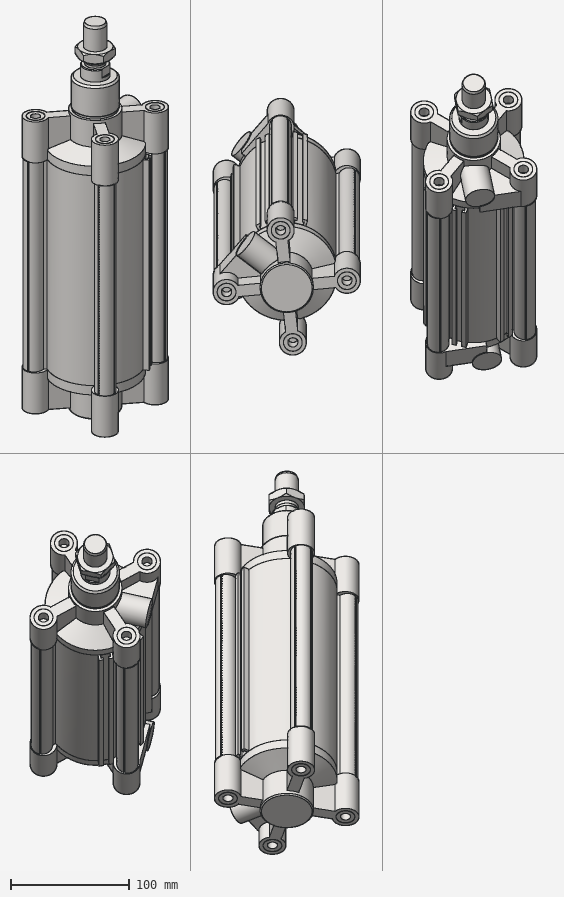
import cadquery as cq
import math


rear_head_foot = 4.0
head_height = 39.0
barrel_length = 200.5
barrel_bottom = rear_head_foot + head_height
barrel_top = barrel_bottom + barrel_length
collar_rise = 3.0
gland_step = barrel_top + head_height + collar_rise
gland_top = 317.0
rod_tip = 368.5

head_width = 95.0
boss_diameter = 23.0
boss_offset = (head_width - boss_diameter) / 2
screw_face_diameter = 16.0
screw_face_depth = 0.5
screw_hole_diameter = 8.5
screw_hole_depth = 11.0
web_width = 10.5
barrel_diameter = 85.0
disc_height = 9.0
cone_height = 7.7
collar_diameter = 45.0
gland_diameter = 41.0
gland_groove_diameter = 39.8
gland_groove_height = 2.2
gland_chamfer = 2.0
rear_collar_chamfer = 1.0

port_diameter = 25.0
port_shift = 3.0
port_height = 22.0
port_reach = head_width / 2
port_block_reach = 46.8

rib_offset = 37.2
rib_diameter = 18.5
rib_groove_width = 1.0
rib_groove_inset = 0.55
rib_groove_depth = 1.0
rail_angle = 25.3
rail_width = 12.5
rail_root_radius = 41.3
rail_outer_radius = 47.5
rail_pocket_width = 8.0
rail_pocket_floor = 42.7
rail_lip_inner_radius = 45.5
rail_opening_width = 4.8

rod_diameter = 25.0
rod_flat_width = 22.0
rod_flat_bottom = 320.2
rod_shoulder = 328.5
rod_shoulder_chamfer = 0.7
thread_diameter = 20.0
thread_end = 332.5
thread_chamfer_height = 2.5
thread_core_diameter = 18.0
thread_runout_height = 2.0
nut_bottom = 335.7
nut_height = 9.0
nut_across_flats = 30.0
nut_chamfer_height = 1.5

corner_signs = [(sx, sy) for sx in (-1, 1) for sy in (-1, 1)]
boss_centers = [(sx * boss_offset, sy * boss_offset) for sx, sy in corner_signs]


def cylinder(diameter, bottom, height):
    return cq.Workplane("XY").workplane(offset=bottom).circle(diameter / 2).extrude(height)


def diagonal_webs(center_distance, height):
    """Two crossed plates that join opposite corners through the Z axis."""
    length = 2 * math.sqrt(2) * center_distance
    plate = cq.Workplane("XY").rect(length, web_width).extrude(height)
    return plate.rotate((0, 0, 0), (0, 0, 1), 45).union(plate.rotate((0, 0, 0), (0, 0, 1), -45))


def head_base(collar_height):
    """Head standing on its barrel face at Z = 0, with its center collar rising past the bosses."""
    disc_radius = barrel_diameter / 2
    collar_radius = collar_diameter / 2
    core = (
        cq.Workplane("XZ")
        .polyline([
            (0, 0),
            (disc_radius, 0),
            (disc_radius, disc_height),
            (collar_radius, disc_height + cone_height),
            (collar_radius, collar_height),
            (0, collar_height),
        ])
        .close()
        .revolve(360, (0, 0, 0), (0, 1, 0))
    )
    bosses = cq.Workplane("XY").pushPoints(boss_centers).circle(boss_diameter / 2).extrude(head_height)
    port = (
        cq.Workplane("XZ")
        .center(port_shift, port_height)
        .circle(port_diameter / 2)
        .extrude(-port_reach)
    )
    port_block = cq.Workplane("XY").polyline([
        (port_shift, 0),
        (port_shift, port_block_reach),
        (-boss_offset, port_block_reach),
        (-boss_offset, boss_offset),
    ]).close().extrude(port_height)

    head = core.union(bosses).union(diagonal_webs(boss_offset, head_height))
    head = head.union(port_block).union(port)
    outer_face = cq.Workplane("XY").workplane(offset=head_height).pushPoints(boss_centers)
    head = head.cut(outer_face.circle(screw_face_diameter / 2).extrude(-screw_face_depth))
    return head.cut(outer_face.circle(screw_hole_diameter / 2).extrude(-screw_hole_depth))


def make_front_head():
    groove_floor = cylinder(gland_groove_diameter, gland_step, gland_groove_height)
    gland_bottom = gland_step + gland_groove_height
    gland = cylinder(gland_diameter, gland_bottom, gland_top - gland_bottom)
    gland = gland.faces(">Z").chamfer(gland_chamfer)
    head = head_base(gland_step - barrel_top).translate((0, 0, barrel_top))
    head = head.union(groove_floor).union(gland)
    return head.cut(cylinder(rod_diameter, barrel_top, gland_top - barrel_top))


def make_rear_head():
    head = head_base(barrel_bottom).faces(">Z").chamfer(rear_collar_chamfer)
    return head.rotate((0, 0, 0), (0, 1, 0), 180).translate((0, 0, barrel_bottom))


def sensor_rail(angle):
    """Undercut sensor slot rail on the outside of the barrel, at an angle from +X."""
    half_rail = rail_width / 2
    half_pocket = rail_pocket_width / 2
    half_opening = rail_opening_width / 2
    outline = [
        (rail_root_radius, -half_rail),
        (rail_outer_radius, -half_rail),
        (rail_outer_radius, -half_opening),
        (rail_lip_inner_radius, -half_opening),
        (rail_lip_inner_radius, -half_pocket),
        (rail_pocket_floor, -half_pocket),
        (rail_pocket_floor, half_pocket),
        (rail_lip_inner_radius, half_pocket),
        (rail_lip_inner_radius, half_opening),
        (rail_outer_radius, half_opening),
        (rail_outer_radius, half_rail),
        (rail_root_radius, half_rail),
    ]
    rail = cq.Workplane("XY").polyline(outline).close().extrude(barrel_length)
    return rail.rotate((0, 0, 0), (0, 0, 1), angle)


def corner_rib(sx, sy):
    """Round corner rib with a narrow groove along its outer X side and its outer Y side."""
    rib = cq.Workplane("XY").circle(rib_diameter / 2).extrude(barrel_length)
    reach = rib_diameter / 2
    x_groove = cq.Workplane("XY").center(sx * reach, -sy * rib_groove_inset)
    x_groove = x_groove.rect(2 * rib_groove_depth, rib_groove_width).extrude(barrel_length)
    y_groove = cq.Workplane("XY").center(-sx * rib_groove_inset, sy * reach)
    y_groove = y_groove.rect(rib_groove_width, 2 * rib_groove_depth).extrude(barrel_length)
    return rib.cut(x_groove).cut(y_groove).translate((sx * rib_offset, sy * rib_offset, 0))


def make_barrel():
    barrel = cylinder(barrel_diameter, 0, barrel_length)
    barrel = barrel.union(diagonal_webs(rib_offset, barrel_length))
    for sx, sy in corner_signs:
        barrel = barrel.union(corner_rib(sx, sy))
    for angle in (rail_angle, 90 - rail_angle, 90 + rail_angle, 180 - rail_angle):
        barrel = barrel.union(sensor_rail(angle))
    return barrel.translate((0, 0, barrel_bottom))


def make_piston_rod():
    thread_radius = thread_diameter / 2
    rod_radius = rod_diameter / 2
    neck_top = thread_end - thread_runout_height
    rod = (
        cq.Workplane("XZ")
        .polyline([
            (0, barrel_top),
            (rod_radius, barrel_top),
            (rod_radius, rod_shoulder - rod_shoulder_chamfer),
            (rod_radius - rod_shoulder_chamfer, rod_shoulder),
            (thread_core_diameter / 2, rod_shoulder),
            (thread_core_diameter / 2, neck_top),
            (thread_radius, thread_end),
            (thread_radius, rod_tip - thread_chamfer_height),
            (thread_core_diameter / 2, rod_tip),
            (0, rod_tip),
        ])
        .close()
        .revolve(360, (0, 0, 0), (0, 1, 0))
    )
    flat_height = rod_shoulder - rod_flat_bottom
    flat_center = rod_flat_bottom + flat_height / 2
    for side in (-1, 1):
        cutter = cq.Workplane("XY").box(rod_diameter, 2 * rod_diameter, flat_height)
        rod = rod.cut(cutter.translate((side * (rod_flat_width + rod_diameter) / 2, 0, flat_center)))
    return rod


def make_nut():
    across_corners = nut_across_flats / math.cos(math.radians(30))
    hexagon = cq.Workplane("XY").polygon(6, across_corners).extrude(nut_height)
    hexagon = hexagon.rotate((0, 0, 0), (0, 0, 1), 30)
    rounded_blank = (
        cq.Workplane("XZ")
        .polyline([
            (0, 0),
            (nut_across_flats / 2, 0),
            (across_corners / 2, nut_chamfer_height),
            (across_corners / 2, nut_height - nut_chamfer_height),
            (nut_across_flats / 2, nut_height),
            (0, nut_height),
        ])
        .close()
        .revolve(360, (0, 0, 0), (0, 1, 0))
    )
    nut = hexagon.intersect(rounded_blank).cut(cylinder(thread_diameter, 0, nut_height))
    return nut.translate((0, 0, nut_bottom))


front_head = make_front_head()
rear_head = make_rear_head()
barrel = make_barrel()
piston_rod = make_piston_rod()
nut = make_nut()

result = cq.Compound.makeCompound([
    front_head.val(),
    rear_head.val(),
    barrel.val(),
    piston_rod.val(),
    nut.val(),
])